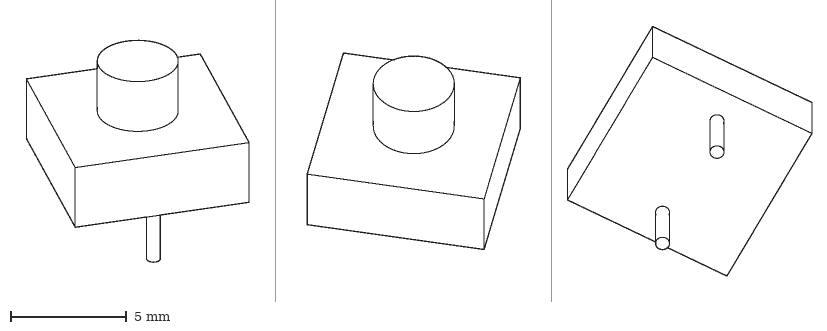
import cadquery as cq

total_height = 8.5
body_side = 7.8
body_height = 3.0

button_diameter = 3.5

pin_length = 3.0
pin_diameter = 0.6
pin_spacing = 5.0

button_height = total_height - body_height - pin_length


def make_body():
    """Square block standing on the plane Z = 0."""
    return cq.Workplane("XY").box(body_side, body_side, body_height, centered=(True, True, False))


def make_button():
    """Cylinder centred on the top face of the body."""
    return cq.Workplane("XY").workplane(offset=body_height).circle(button_diameter / 2).extrude(button_height)


def make_pins():
    """Pair of pins along X, hanging from the bottom face of the body."""
    pin_centres = [(side * pin_spacing / 2, 0) for side in (-1, 1)]
    return cq.Workplane("XY").pushPoints(pin_centres).circle(pin_diameter / 2).extrude(-pin_length)


result = make_body().union(make_button()).union(make_pins())